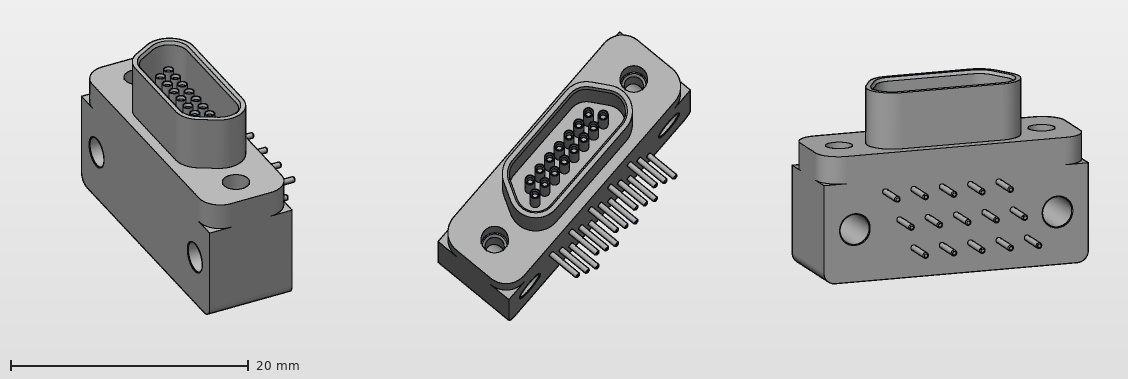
import cadquery as cq
import math

BODY_LENGTH = 23.7
BODY_DEPTH = 7.8
BODY_HEIGHT = 10.95
BOTTOM_EDGE_RADIUS = 1.0
FLANGE_HEIGHT = 2.37
FLANGE_CORNER_RADIUS = 2.01

SHELL_HEIGHT = 4.85
SHELL_DEPTH = 5.92
SHELL_WIDTH = 13.63
SHELL_CORNER_RADIUS = 2.25
SHELL_SIDE_ANGLE = 30.0
SHELL_WALL = 0.6
LEAD_IN_WIDTH = 0.17
LEAD_IN_DEPTH = 0.28
CAVITY_DEPTH = SHELL_HEIGHT

BACK_ROW_LENGTH = 8.89
CONTACT_ROW_OFFSET = 0.55
BACK_ROW_COUNT = 8
FRONT_ROW_COUNT = 7
CONTACT_PITCH = BACK_ROW_LENGTH / (BACK_ROW_COUNT - 1)
CONTACT_DIAMETER = 0.85
CONTACT_BORE = 0.55
CONTACT_HEIGHT = 3.3
CONTACT_BORE_DEPTH = 1.18
CONTACT_SINK_DIAMETER = 0.75
CONTACT_SINK_DEPTH = 0.24

PIN_DIAMETER = 0.5
PIN_LENGTH = 3.0
PIN_TIP_CHAMFER = 0.1
LOWEST_PIN_HEIGHT = 2.54
PIN_ROW_SPACING = 2.54
PIN_ROWS = 3
PINS_PER_ROW = 5

HOLE_OFFSET = 9.08
CROSS_HOLE_DIAMETER = 2.6
CROSS_HOLE_CHAMFER = 0.07
CROSS_HOLE_HEIGHT = 4.55
SCREW_HOLE_DIAMETER = 1.6
COUNTERBORE_DIAMETER = 2.3
COUNTERBORE_DEPTH = 2.37
COUNTERSINK_DIAMETER = 2.06

SHELL_TOP = BODY_HEIGHT + SHELL_HEIGHT
CAVITY_FLOOR = SHELL_TOP - CAVITY_DEPTH
BACK_FACE = BODY_DEPTH / 2


def make_housing():
    base = (
        cq.Workplane("XY")
        .box(BODY_LENGTH, BODY_DEPTH, BODY_HEIGHT - FLANGE_HEIGHT, centered=(True, True, False))
        .edges("|Y and <Z")
        .fillet(BOTTOM_EDGE_RADIUS)
    )
    flange = (
        cq.Workplane("XY", origin=(0, 0, BODY_HEIGHT - FLANGE_HEIGHT))
        .box(BODY_LENGTH, BODY_DEPTH, FLANGE_HEIGHT, centered=(True, True, False))
        .edges("|Z")
        .fillet(FLANGE_CORNER_RADIUS)
    )
    return base.union(flange)


def d_prism(bottom, height, inset):
    """Rounded trapezoid prism, its outline moved inward from the shell's outside by inset."""
    angle = math.radians(SHELL_SIDE_ANGLE)
    radius = SHELL_CORNER_RADIUS - inset
    half_depth = SHELL_DEPTH / 2 - inset
    arc_x = SHELL_WIDTH / 2 - SHELL_CORNER_RADIUS
    arc_y = SHELL_DEPTH / 2 - SHELL_CORNER_RADIUS
    side_x = arc_x + radius / math.cos(angle) - arc_y * math.tan(angle)
    back_x = side_x + half_depth * math.tan(angle)
    front_x = side_x - half_depth * math.tan(angle)
    corners = [
        (-back_x, half_depth),
        (back_x, half_depth),
        (front_x, -half_depth),
        (-front_x, -half_depth),
    ]
    return (
        cq.Workplane("XY", origin=(0, 0, bottom))
        .polyline(corners)
        .close()
        .extrude(height)
        .edges("|Z")
        .fillet(radius)
    )


def cut_cavity(part):
    """Hollow the shell and bevel the inner edge of its rim."""
    part = part.cut(d_prism(CAVITY_FLOOR, CAVITY_DEPTH, SHELL_WALL))
    return part.faces(">Z").wires(cq.selectors.LengthNthSelector(0)).chamfer(LEAD_IN_WIDTH, LEAD_IN_DEPTH)


def row_positions(count, pitch):
    return [(i - (count - 1) / 2) * pitch for i in range(count)]


def revolved(profile):
    """Solid turned around the Z axis from (radius, height) points."""
    return cq.Workplane("XZ").polyline(profile).close().revolve(360, (0, 0), (0, 1))


def make_contacts():
    """Round posts, each with a countersunk blind bore in its top."""
    points = [(x, CONTACT_ROW_OFFSET) for x in row_positions(BACK_ROW_COUNT, CONTACT_PITCH)]
    points += [(x, -CONTACT_ROW_OFFSET) for x in row_positions(FRONT_ROW_COUNT, CONTACT_PITCH)]
    contact = revolved([
        (0, 0),
        (CONTACT_DIAMETER / 2, 0),
        (CONTACT_DIAMETER / 2, CONTACT_HEIGHT),
        (CONTACT_SINK_DIAMETER / 2, CONTACT_HEIGHT),
        (CONTACT_BORE / 2, CONTACT_HEIGHT - CONTACT_SINK_DEPTH),
        (CONTACT_BORE / 2, CONTACT_HEIGHT - CONTACT_BORE_DEPTH),
        (0, CONTACT_HEIGHT - CONTACT_BORE_DEPTH),
    ])
    return [contact.translate((x, y, CAVITY_FLOOR)) for x, y in points]


def make_pins():
    pin = (
        cq.Workplane("XZ", origin=(0, BACK_FACE, 0))
        .circle(PIN_DIAMETER / 2)
        .extrude(-PIN_LENGTH)
        .faces(">Y")
        .chamfer(PIN_TIP_CHAMFER)
    )
    pins = []
    for row in range(PIN_ROWS):
        shift = (row - (PIN_ROWS - 1) / 2) * CONTACT_PITCH
        for x in row_positions(PINS_PER_ROW, 2 * CONTACT_PITCH):
            pins.append(pin.translate((x + shift, 0, LOWEST_PIN_HEIGHT + row * PIN_ROW_SPACING)))
    return pins


def make_screw_hole():
    """Stepped hole from the top face down to the axis of the cross hole."""
    bore = SCREW_HOLE_DIAMETER / 2
    sink = COUNTERSINK_DIAMETER / 2
    step_z = BODY_HEIGHT - COUNTERBORE_DEPTH
    return revolved([
        (0, CROSS_HOLE_HEIGHT),
        (bore, CROSS_HOLE_HEIGHT),
        (bore, step_z - (sink - bore)),
        (sink, step_z),
        (COUNTERBORE_DIAMETER / 2, step_z),
        (COUNTERBORE_DIAMETER / 2, BODY_HEIGHT),
        (0, BODY_HEIGHT),
    ])


def make_cross_hole():
    """Hole along Y with a small chamfer at both mouths."""
    bore = CROSS_HOLE_DIAMETER / 2
    mouth = bore + CROSS_HOLE_CHAMFER
    inner = BACK_FACE - CROSS_HOLE_CHAMFER
    hole = revolved([
        (0, -BACK_FACE),
        (mouth, -BACK_FACE),
        (bore, -inner),
        (bore, inner),
        (mouth, BACK_FACE),
        (0, BACK_FACE),
    ])
    return hole.rotate((0, 0, 0), (1, 0, 0), 90).translate((0, 0, CROSS_HOLE_HEIGHT))


part = make_housing().union(d_prism(BODY_HEIGHT, SHELL_HEIGHT, 0))
part = cut_cavity(part)
for feature in make_contacts() + make_pins():
    part = part.union(feature)
for side in (-1, 1):
    offset = (side * HOLE_OFFSET, 0, 0)
    part = part.cut(make_screw_hole().translate(offset))
    part = part.cut(make_cross_hole().translate(offset))

result = part